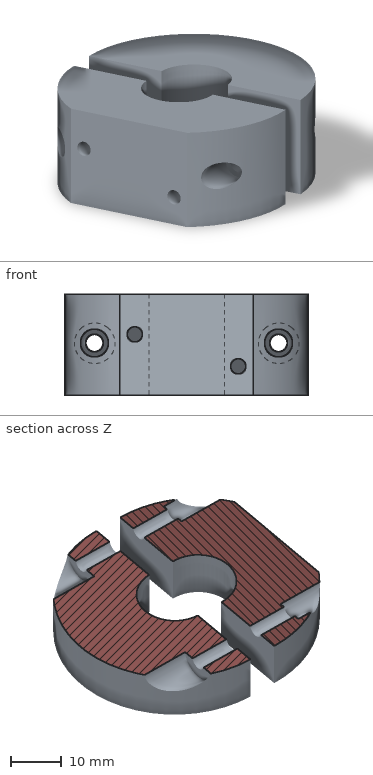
import cadquery as cq

total_depth = 50.05
height = 20.0
outer_diameter = 48.0
bore_diameter = 15.0
gap = 6.0
split_offset = 0.3

outer_radius = outer_diameter / 2
flat_distance = total_depth - outer_radius - gap

screw_x = 18.15
screw_z = 10.35
screw_diameter = 3.4
front_recess_diameter = 5.5
rear_recess_diameter = 8.0
seat_thickness = 8.7
front_recess_floor = split_offset - seat_thickness
rear_recess_floor = split_offset + seat_thickness

mount_diameter = 3.0
mount_depth = 6.0
mount_x = 10.2
mount_positions = [(-mount_x, 12.05), (mount_x, 5.75)]


def ring():
    """Full ring around the Z axis, standing on Z = 0."""
    return cq.Workplane("XY").circle(outer_radius).circle(bore_diameter / 2).extrude(height)


def slab(y_start, y_end):
    """Block that spans the whole ring in X and Z between two Y positions."""
    return cq.Workplane("XY").box(
        outer_diameter, y_end - y_start, height, centered=(True, False, False)
    ).translate((0, y_start, 0))


def y_cylinder(diameter, x, z, y_start, y_end):
    """Cylinder parallel to Y between two Y positions."""
    return cq.Workplane(
        cq.Solid.makeCylinder(
            diameter / 2, y_end - y_start, cq.Vector(x, y_start, z), cq.Vector(0, 1, 0)
        )
    )


def cut_screw_holes(body, recess_diameter, recess_start, recess_end):
    """Cut both screw holes right through, each with a recess open to the outer surface."""
    for x in (-screw_x, screw_x):
        body = body.cut(y_cylinder(screw_diameter, x, screw_z, -outer_radius, outer_radius))
        body = body.cut(y_cylinder(recess_diameter, x, screw_z, recess_start, recess_end))
    return body


def make_rear_half():
    """Round half on the +Y side of the split."""
    body = ring().intersect(slab(split_offset, outer_radius))
    return cut_screw_holes(body, rear_recess_diameter, rear_recess_floor, outer_radius)


def make_front_half():
    """Half on the -Y side of the split, with the mounting flat."""
    body = ring().intersect(slab(-flat_distance, split_offset))
    body = cut_screw_holes(body, front_recess_diameter, -outer_radius, front_recess_floor)
    for x, z in mount_positions:
        body = body.cut(
            y_cylinder(mount_diameter, x, z, -flat_distance, -flat_distance + mount_depth)
        )
    return body


rear_half = make_rear_half()
front_half = make_front_half().translate((0, -gap, 0))

result = cq.Compound.makeCompound([rear_half.solids().val(), front_half.solids().val()])